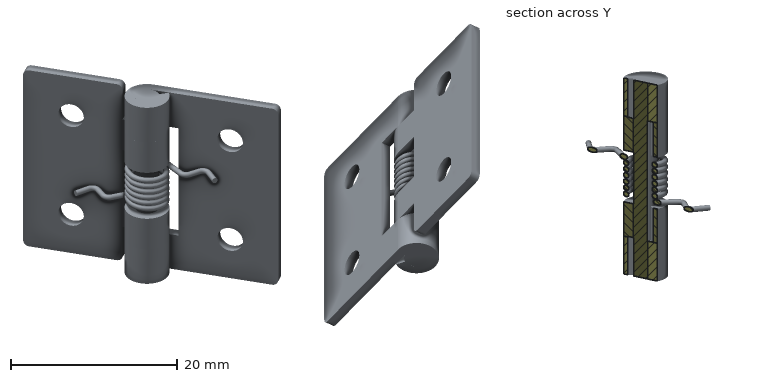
import cadquery as cq
import math


HINGE_WIDTH = 32.0
HINGE_HEIGHT = 25.0
LEAF_EDGE_X = 3.52
CORNER_RADIUS = 0.75
HOLE_DIAMETER = 3.2
HOLE_X = 10.0
HOLE_Z = 7.0

KNUCKLE_DIAMETER = 5.4
PIN_DIAMETER = 3.0
KNUCKLE_JOINT_Z = 7.6
INNER_KNUCKLE_END_Z = 3.25
ROLL_END_ANGLE = 32.0

WIRE_DIAMETER = 0.7
FULL_TURNS = 6
LEG_Z = 2.45
BEND_RADIUS = 0.8
LEG_LOW_BEND = (4.93, -0.8)
LEG_HIGH_BEND = (6.98, 1.4)
LEG_TIP = (8.75, -0.75)

half_width = HINGE_WIDTH / 2
half_height = HINGE_HEIGHT / 2
knuckle_radius = KNUCKLE_DIAMETER / 2
pin_radius = PIN_DIAMETER / 2
sheet_thickness = knuckle_radius - pin_radius
coil_radius = (KNUCKLE_DIAMETER - WIRE_DIAMETER) / 2


def polar(radius, degrees):
    """Point in the XY plane at a radius and angle about the hinge axis."""
    angle = math.radians(degrees)
    return (radius * math.cos(angle), radius * math.sin(angle))


def knuckle(z_low, z_high):
    """Sheet rolled around the pin, with the flat tab that joins it to a +X leaf."""
    mid_angle = (90 + 360 + ROLL_END_ANGLE) / 2
    return (
        cq.Workplane("XY", origin=(0, 0, z_low))
        .moveTo(LEAF_EDGE_X, knuckle_radius)
        .lineTo(0, knuckle_radius)
        .threePointArc(polar(knuckle_radius, mid_angle), polar(knuckle_radius, ROLL_END_ANGLE))
        .lineTo(*polar(pin_radius, ROLL_END_ANGLE))
        .threePointArc(polar(pin_radius, mid_angle), (0, pin_radius))
        .lineTo(LEAF_EDGE_X, pin_radius)
        .close()
        .extrude(z_high - z_low)
    )


def leaf_plate(rounded_edges):
    """Flat +X leaf with two screw holes; rounded_edges selects its rounded corners."""
    plate_width = half_width - LEAF_EDGE_X
    plate = (
        cq.Workplane("XY")
        .box(plate_width, sheet_thickness, HINGE_HEIGHT)
        .translate(((half_width + LEAF_EDGE_X) / 2, pin_radius + sheet_thickness / 2, 0))
        .edges(rounded_edges)
        .fillet(CORNER_RADIUS)
    )
    holes = (
        cq.Workplane("XZ", origin=(0, knuckle_radius, 0))
        .pushPoints([(HOLE_X, -HOLE_Z), (HOLE_X, HOLE_Z)])
        .circle(HOLE_DIAMETER / 2)
        .extrude(sheet_thickness)
    )
    return plate.cut(holes)


def outer_leaf():
    """+X leaf, carrying the knuckles at both ends of the pin."""
    return (
        leaf_plate("|Y and >X")
        .union(knuckle(KNUCKLE_JOINT_Z, half_height))
        .union(knuckle(-half_height, -KNUCKLE_JOINT_Z))
    )


def inner_leaf():
    """-X leaf, carrying the knuckles on either side of the spring."""
    return (
        leaf_plate("|Y")
        .union(knuckle(INNER_KNUCKLE_END_Z, KNUCKLE_JOINT_Z))
        .union(knuckle(-KNUCKLE_JOINT_Z, -INNER_KNUCKLE_END_Z))
        .mirror("YZ")
    )


def hinge_pin():
    return cq.Workplane("XY", origin=(0, 0, -half_height)).circle(pin_radius).extrude(HINGE_HEIGHT)


def spring_leg(tangent_angle):
    """Zigzag wire leaving the top of the coil tangentially toward +X."""
    start = polar(coil_radius, tangent_angle)
    corners = [start, LEG_LOW_BEND, LEG_HIGH_BEND, LEG_TIP]
    sharp_path = cq.Wire.makePolygon([cq.Vector(x, y, LEG_Z) for x, y in corners])
    bends = [v for v in sharp_path.Vertices() if (v.X, v.Y) in (LEG_LOW_BEND, LEG_HIGH_BEND)]
    path = sharp_path.fillet2D(BEND_RADIUS, bends)
    direction = cq.Vector(LEG_LOW_BEND[0] - start[0], LEG_LOW_BEND[1] - start[1], 0)
    section = cq.Plane(origin=(*start, LEG_Z), xDir=(0, 0, 1), normal=direction)
    return cq.Workplane(section).circle(WIRE_DIAMETER / 2).sweep(cq.Workplane(obj=path))


def torsion_spring():
    """Left-hand coil with a bent leg at each end."""
    bend_distance = math.hypot(*LEG_LOW_BEND)
    bend_angle = math.atan2(LEG_LOW_BEND[1], LEG_LOW_BEND[0])
    tangent_angle = math.degrees(bend_angle + math.acos(coil_radius / bend_distance))
    start_angle = 180 - tangent_angle

    turns = FULL_TURNS + (start_angle - tangent_angle) / 360
    coil_height = 2 * LEG_Z
    helix = cq.Wire.makeHelix(coil_height / turns, coil_height, coil_radius, lefthand=True)
    coil = (
        cq.Workplane("XZ", origin=(coil_radius, 0, 0))
        .circle(WIRE_DIAMETER / 2)
        .sweep(cq.Workplane(obj=helix), isFrenet=True)
        .rotate((0, 0, 0), (0, 0, 1), start_angle)
        .translate((0, 0, -LEG_Z))
    )
    upper_leg = spring_leg(tangent_angle)
    lower_leg = upper_leg.rotate((0, 0, 0), (0, 1, 0), 180)
    spring = coil.union(upper_leg).union(lower_leg)

    for angle, z in ((tangent_angle, LEG_Z), (start_angle, -LEG_Z)):
        joint = cq.Workplane("XY").sphere(WIRE_DIAMETER / 2).translate((*polar(coil_radius, angle), z))
        spring = spring.union(joint)
    return spring


right_leaf = outer_leaf()
left_leaf = inner_leaf()
pin = hinge_pin()
spring = torsion_spring()

result = cq.Compound.makeCompound([right_leaf.val(), left_leaf.val(), pin.val(), spring.val()])